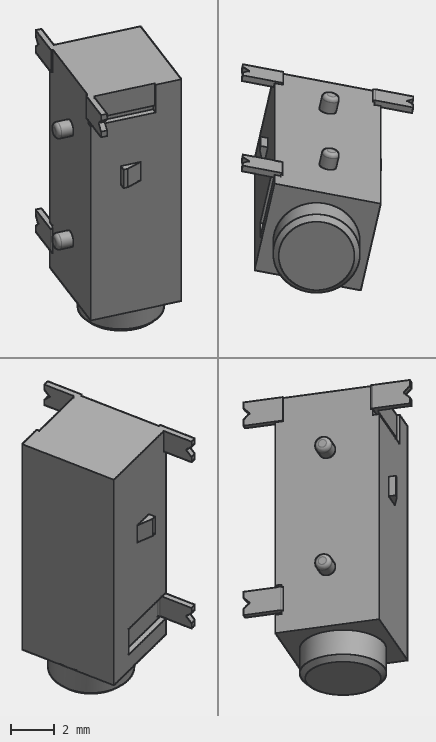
import cadquery as cq

total_width = 8.0
total_depth = 5.3
total_height = 13.5

body_width = 5.0
body_depth = 4.51
body_height = 12.0
half_width = body_width / 2

barrel_diameter = 4.0
barrel_length = total_height - body_height
barrel_chamfer = 0.25

peg_diameter = 0.8
peg_length = total_depth - body_depth
peg_rounding = 0.2
peg_heights = (body_height - 9.0, body_height - 3.0)

clip_reach = 0.34
clip_front = 1.5
clip_land = 0.2
clip_back = 2.5
clip_height = 1.0
clip_bottom = body_height - 5.0

tab_reach = total_width / 2
tab_inner = 2.1
tab_thickness = 0.3
tab_front = -0.1
tab_back = tab_front + tab_thickness
tab_height = 1.2
notch_size = 0.3
outer_bend = 0.1
inner_bend = 0.08
upper_tab_bottom = body_height - tab_height

recess_depth = 0.3
recess_back = 3.23
recess_height = 1.5
recess_floor = half_width - recess_depth
lower_recess_bottom = 0.95
lower_tab_bottom = lower_recess_bottom + (recess_height - tab_height) / 2
upper_recess_bottom = body_height - recess_height
leg_setback = 0.14
proud_leg_face = half_width - leg_setback


def block(x_start, x_end, y_start, y_end, z_start, z_end):
    size = (x_end - x_start, y_end - y_start, z_end - z_start)
    return cq.Workplane("XY").box(*size, centered=False).translate((x_start, y_start, z_start))


def mirrored(shape):
    return shape.mirror("YZ")


def recess(bottom):
    """Open-fronted pocket in the +X side."""
    return block(recess_floor, half_width, 0, recess_back, bottom, bottom + recess_height)


def end_notch(bottom):
    """V-shaped cut in the free end of a +X tab."""
    middle = bottom + tab_height / 2
    return (
        cq.Workplane("XZ", origin=(0, tab_back, 0))
        .moveTo(tab_reach, middle - notch_size)
        .lineTo(tab_reach - notch_size, middle)
        .lineTo(tab_reach, middle + notch_size)
        .close()
        .extrude(tab_thickness)
    )


def straight_tab(bottom):
    tab = block(tab_inner, tab_reach, tab_front, tab_back, bottom, bottom + tab_height)
    return tab.cut(end_notch(bottom))


def bent_tab(bottom, leg_face):
    """+X tab whose leg turns back along the recess, with rounded bends."""
    diagonal = 0.5 ** 0.5
    outer_centre = tab_inner + outer_bend
    inner_x = leg_face + inner_bend
    inner_y = tab_back + inner_bend
    tab = (
        cq.Workplane("XY", origin=(0, 0, bottom))
        .moveTo(tab_reach, tab_front)
        .lineTo(outer_centre, tab_front)
        .threePointArc(
            (outer_centre - outer_bend * diagonal, tab_front + outer_bend * (1 - diagonal)),
            (tab_inner, tab_front + outer_bend),
        )
        .lineTo(tab_inner, recess_back)
        .lineTo(leg_face, recess_back)
        .lineTo(leg_face, inner_y)
        .threePointArc(
            (inner_x - inner_bend * diagonal, inner_y - inner_bend * diagonal),
            (inner_x, tab_back),
        )
        .lineTo(tab_reach, tab_back)
        .close()
        .extrude(tab_height)
    )
    return tab.cut(end_notch(bottom))


def clip():
    """Wedge on the +X side, widest towards the front."""
    tip = half_width + clip_reach
    return (
        cq.Workplane("XY", origin=(0, 0, clip_bottom))
        .moveTo(half_width, clip_front)
        .lineTo(tip, clip_front)
        .lineTo(tip, clip_front + clip_land)
        .lineTo(half_width, clip_back)
        .close()
        .extrude(clip_height)
    )


def peg(height):
    return (
        cq.Workplane("XZ", origin=(0, 0, height))
        .circle(peg_diameter / 2)
        .extrude(peg_length)
        .faces("<Y")
        .edges()
        .fillet(peg_rounding)
    )


def barrel():
    return (
        cq.Workplane("XY", origin=(0, body_depth - barrel_diameter / 2, 0))
        .circle(barrel_diameter / 2)
        .extrude(-barrel_length)
        .faces("<Z")
        .edges()
        .chamfer(barrel_chamfer)
    )


result = block(-half_width, half_width, 0, body_depth, 0, body_height)
result = result.cut(recess(upper_recess_bottom))
result = result.cut(mirrored(recess(lower_recess_bottom)))

result = result.union(barrel())
for peg_height in peg_heights:
    result = result.union(peg(peg_height))
result = result.union(clip()).union(mirrored(clip()))

result = result.union(bent_tab(upper_tab_bottom, proud_leg_face))
result = result.union(mirrored(bent_tab(lower_tab_bottom, recess_floor)))
result = result.union(mirrored(straight_tab(upper_tab_bottom)))